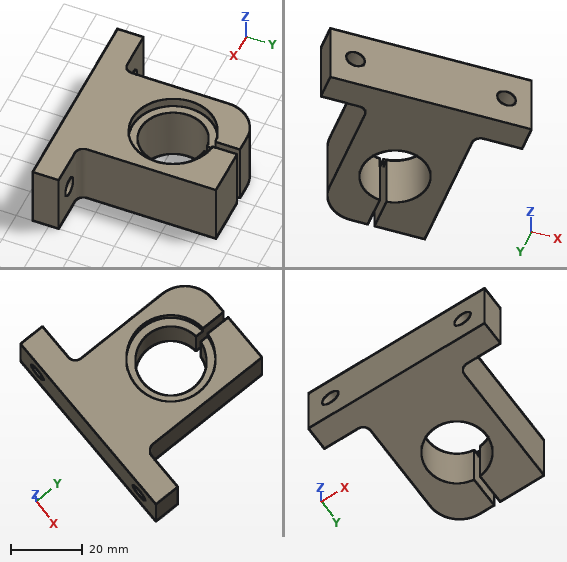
import cadquery as cq

base_length = 60.0
total_depth = 50.0
height = 20.0

base_thickness = 8.0
body_width = 32.0
root_fillet = 2.5
corner_radius = 10.0

bore_center_y = 30.0
bore_diameter = 20.0
counterbore_diameter = 25.0
counterbore_depth = 3.0
slit_width = 2.0

mount_hole_diameter = 5.5
mount_hole_spacing = 45.0


def make_body():
    """T-shaped block with filleted roots and one rounded upper corner."""
    base = cq.Workplane("XY").box(base_length, base_thickness, height, centered=(True, False, False))
    upright = cq.Workplane("XY").box(body_width, total_depth, height, centered=(True, False, False))
    body = base.union(upright)
    roots = cq.selectors.BoxSelector(
        (-body_width / 2 - 0.6, base_thickness - 0.6, 0),
        (body_width / 2 + 0.6, base_thickness + 0.6, height),
    )
    body = body.edges("|Z").edges(roots).fillet(root_fillet)
    return body.faces(">Y").edges("|Z and <X").fillet(corner_radius)


def make_bore():
    """Through bore with a shallow counterbore in the top face."""
    bore = cq.Workplane("XY").center(0, bore_center_y).circle(bore_diameter / 2).extrude(height)
    counterbore = (
        cq.Workplane("XY", origin=(0, bore_center_y, height))
        .circle(counterbore_diameter / 2)
        .extrude(-counterbore_depth)
    )
    return bore.union(counterbore)


def make_slit():
    """Clamping slit from the bore out through the back face."""
    slit_length = total_depth - bore_center_y
    return (
        cq.Workplane("XY", origin=(0, bore_center_y, 0))
        .box(slit_width, slit_length, height, centered=(True, False, False))
    )


def make_mount_holes():
    """Pair of holes through the base flange along Y."""
    return (
        cq.Workplane("XZ", origin=(0, 0, height / 2))
        .pushPoints([(side * mount_hole_spacing / 2, 0) for side in (-1, 1)])
        .circle(mount_hole_diameter / 2)
        .extrude(-base_thickness)
    )


result = make_body().cut(make_bore()).cut(make_slit()).cut(make_mount_holes())